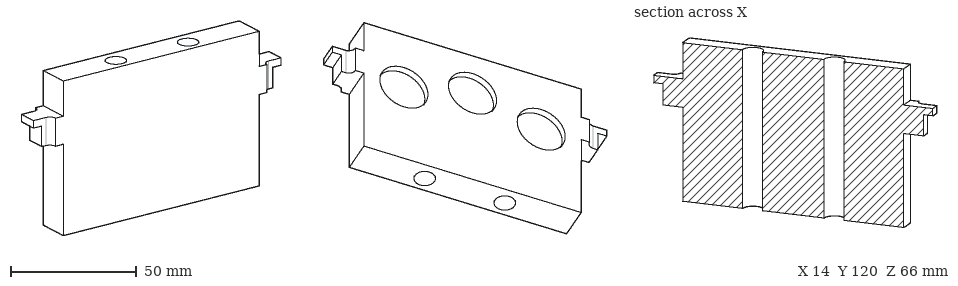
import cadquery as cq

thickness = 14.0
plate_length = 95.0
plate_height = 66.0

overall_length = 120.0
lug_top_z = plate_height - 15.0
lug_height = 12.0
neck_width = 8.4
shoulder_radius = (thickness - neck_width) / 2
shoulder_arc_centre_y = 54.0
hook_overhang = 4.0
hook_thickness = 3.2

pocket_diameter = 21.0
pocket_depth = 3.0
side_pocket_y = 30.0
side_pocket_z = plate_height - 28.0
middle_pocket_z = plate_height - 20.0
pocket_centres = [
    (-side_pocket_y, side_pocket_z),
    (0, middle_pocket_z),
    (side_pocket_y, side_pocket_z),
]

hole_diameter = 8.5
hole_x = 0.5
hole_y = 17.5


def make_plate():
    return cq.Workplane("XY").box(thickness, plate_length, plate_height, centered=(True, True, False))


def make_lug():
    """Lug on the +Y end: wide root, concave shoulders, narrow neck and a hook undercut below."""
    root_y = plate_length / 2
    tip_y = overall_length / 2
    lug_bottom_z = lug_top_z - lug_height
    half_root = thickness / 2
    half_neck = neck_width / 2
    shoulder_y = shoulder_arc_centre_y - shoulder_radius
    lug = (
        cq.Workplane("XY", origin=(0, 0, lug_bottom_z))
        .moveTo(-half_root, root_y)
        .lineTo(half_root, root_y)
        .lineTo(half_root, shoulder_y)
        .radiusArc((half_neck, shoulder_arc_centre_y), shoulder_radius)
        .lineTo(half_neck, tip_y)
        .lineTo(-half_neck, tip_y)
        .lineTo(-half_neck, shoulder_arc_centre_y)
        .radiusArc((-half_root, shoulder_y), shoulder_radius)
        .close()
        .extrude(lug_height)
    )
    undercut = (
        cq.Workplane("XY", origin=(0, tip_y - hook_overhang, lug_bottom_z))
        .box(thickness, hook_overhang, lug_height - hook_thickness, centered=(True, False, False))
    )
    return lug.cut(undercut)


def make_pockets():
    return (
        cq.Workplane("YZ", origin=(-thickness / 2, 0, 0))
        .pushPoints(pocket_centres)
        .circle(pocket_diameter / 2)
        .extrude(pocket_depth)
    )


def make_holes():
    return (
        cq.Workplane("XY")
        .pushPoints([(hole_x, -hole_y), (hole_x, hole_y)])
        .circle(hole_diameter / 2)
        .extrude(plate_height)
    )


lug = make_lug()
opposite_lug = lug.mirror("XZ")
result = make_plate().union(lug).union(opposite_lug).cut(make_pockets()).cut(make_holes())